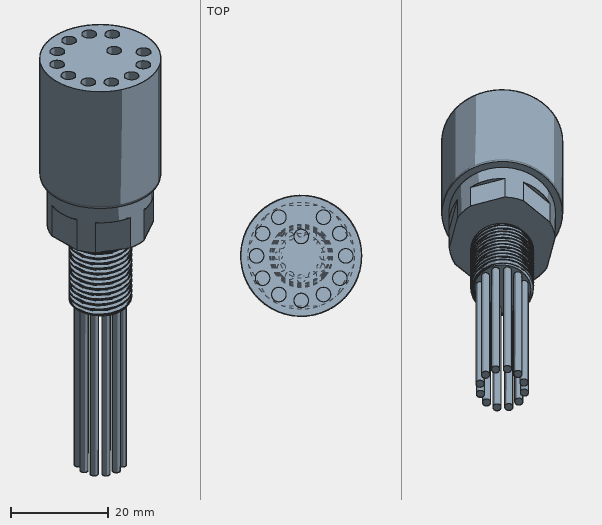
import cadquery as cq
import math

total_height = 100
body_bottom = 71
flats_top = 66.5
collar_bottom = 59
thread_top = 57.1
thread_bottom = 40

body_diameter = 25
lip_chamfer_height = 0.5
lip_chamfer_depth = 0.1

hole_diameter = 3
hole_depth = 10
hole_circle_radius = 9.2
key_hole_radius = 4
hole_positions = 12
key_position = 3

collar_diameter = 22
across_flats = 20.7
flat_count = 6

neck_diameter = 9.2
thread_diameter = 13
thread_depth = 0.7
thread_length = thread_top - thread_bottom
thread_turns = 13.5
thread_pitch = thread_length / thread_turns
thread_crest = 0.2
thread_base = 1.0
thread_end_chamfer = 0.6
shoulder_slope = 0.5
thread_start_angle = math.radians(305)

section_turns = (1, 3, 3, 3, 3, 1)
thread_run_out = 0.1
envelope_clearance = 1
flank_steps = 6

wire_diameter = 1.7
wire_circle_radius = 4.7
wire_count = 12


def cylinder(diameter, bottom, top):
    """Vertical cylinder on the part axis."""
    return cq.Workplane("XY").workplane(offset=bottom).circle(diameter / 2).extrude(top - bottom)


def polar(radius, angle):
    """Point at a radius and an angle, in radians, counted from +X."""
    return (radius * math.cos(angle), radius * math.sin(angle))


def make_body():
    body = cylinder(body_diameter, body_bottom, total_height)
    body = body.faces("<Z").chamfer(lip_chamfer_height, lip_chamfer_depth)
    centres = []
    for index in range(hole_positions):
        radius = key_hole_radius if index == key_position else hole_circle_radius
        centres.append(polar(radius, 2 * math.pi * index / hole_positions))
    holes = (
        cq.Workplane("XY")
        .workplane(offset=total_height - hole_depth)
        .pushPoints(centres)
        .circle(hole_diameter / 2)
        .extrude(hole_depth)
    )
    return body.cut(holes)


def make_collar():
    collar = cylinder(collar_diameter, flats_top, body_bottom)
    across_corners = across_flats / math.cos(math.pi / flat_count)
    hexagon = (
        cq.Workplane("XY")
        .workplane(offset=collar_bottom)
        .polygon(flat_count, across_corners)
        .extrude(flats_top - collar_bottom)
    )
    wrench_zone = cylinder(collar_diameter, collar_bottom, flats_top).intersect(hexagon)
    return collar.union(wrench_zone)


def threaded_bar(bottom, turns):
    """Right-hand threaded bar made by twisting its cross-section along the axis."""
    crest_radius = thread_diameter / 2
    root_radius = crest_radius - thread_depth
    crest_angle = math.pi * thread_crest / thread_pitch
    base_angle = math.pi * thread_base / thread_pitch

    def flank(share, side):
        """Point a share of the way up the flank on one side of the ridge."""
        half_angle = base_angle + share * (crest_angle - base_angle)
        return polar(root_radius + share * thread_depth, thread_start_angle + side * half_angle)

    shares = [step / flank_steps for step in range(flank_steps + 1)]
    section = (
        cq.Workplane("XY")
        .workplane(offset=bottom)
        .moveTo(*flank(0, -1))
        .spline([flank(share, -1) for share in shares[1:]], includeCurrent=True)
        .threePointArc(polar(crest_radius, thread_start_angle), flank(1, 1))
        .spline([flank(share, 1) for share in reversed(shares[:-1])], includeCurrent=True)
        .threePointArc(polar(root_radius, thread_start_angle + math.pi), flank(0, -1))
        .close()
    )
    return section.twistExtrude(turns * thread_pitch, 360 * turns)


def make_stem():
    crest_radius = thread_diameter / 2
    neck_radius = neck_diameter / 2
    rim_radius = crest_radius + envelope_clearance
    end_radius = crest_radius - thread_end_chamfer
    envelope = (
        cq.Workplane("XZ")
        .moveTo(0, thread_bottom)
        .lineTo(end_radius, thread_bottom)
        .lineTo(rim_radius, thread_bottom + rim_radius - end_radius)
        .lineTo(rim_radius, thread_top - shoulder_slope * (rim_radius - neck_radius))
        .lineTo(neck_radius, thread_top)
        .lineTo(0, thread_top)
        .close()
        .revolve(360, (0, 0), (0, 1))
    )
    stem = cylinder(neck_diameter, thread_top, collar_bottom)
    bottom = thread_top + thread_run_out
    for index, turns in enumerate(section_turns):
        bottom -= turns * thread_pitch
        section = threaded_bar(bottom, turns)
        if index in (0, len(section_turns) - 1):
            section = section.intersect(envelope)
        stem = stem.union(section)
    return stem


def make_wires():
    spacing = 2 * math.pi / wire_count
    centres = [polar(wire_circle_radius, index * spacing) for index in range(wire_count)]
    return cq.Workplane("XY").pushPoints(centres).circle(wire_diameter / 2).extrude(thread_bottom)


result = make_body().union(make_collar()).union(make_stem()).union(make_wires())